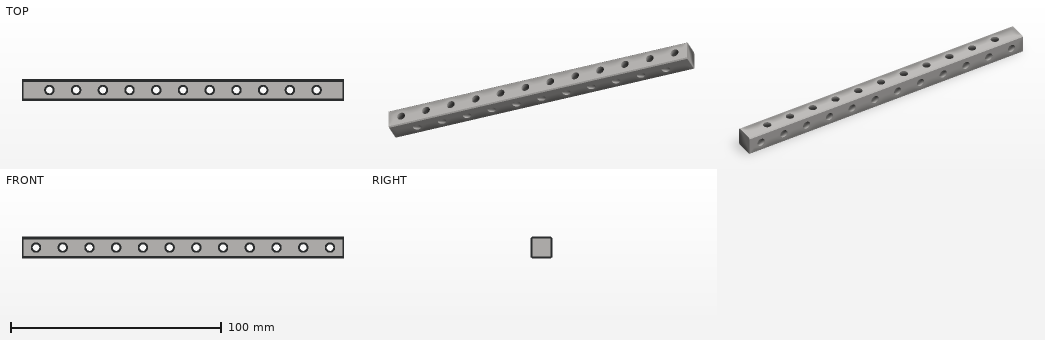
import cadquery as cq

length = 152.4
side = 9.6
edge_chamfer = 0.53
hole_diameter = 4.0

side_hole_count = 12
top_hole_count = side_hole_count - 1
pitch = length / side_hole_count


def bar():
    """Bar along X, centred on the origin, with chamfered long edges."""
    return cq.Workplane("XY").box(length, side, side).edges("|X").chamfer(edge_chamfer)


def hole_row(plane, count):
    """Centred row of cylinders along X that pass right through the bar."""
    return (
        cq.Workplane(plane)
        .rarray(pitch, 1.5, count, 1)
        .circle(hole_diameter / 2)
        .extrude(side, both=True)
    )


result = bar().cut(hole_row("XZ", side_hole_count)).cut(hole_row("XY", top_hole_count))